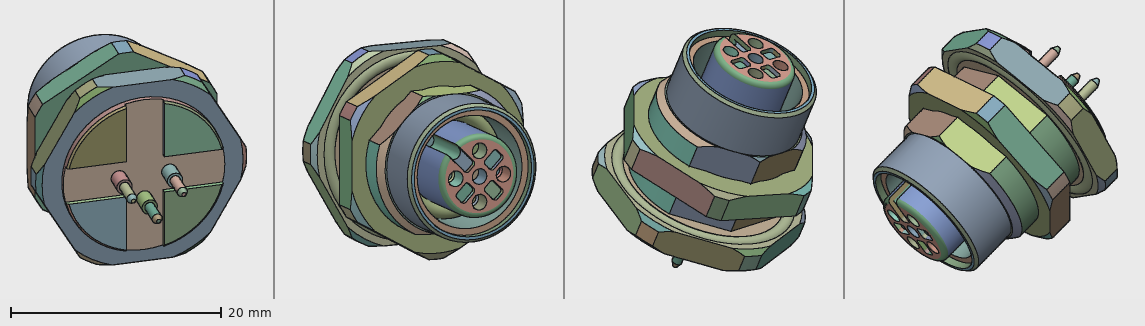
import cadquery as cq
import math

SHELL_FRONT = 1.5
SHELL_END = 6.47
NUT_FRONT = 9.46
NUT_BACK = 12.32
FLANGE_FRONT = 15.3
FLANGE_BACK = 18.0
NOTCH_FLOOR = 18.5
BOSS_BACK = 19.0
PIN_SHOULDER = 20.48
PIN_TIP_START = 23.03
PIN_END = 23.6

SHELL_DIA = 13.5
SHELL_CHAMFER = 0.3
MOUTH_DIA = 12.3
MOUTH_DEPTH = 0.75
BORE_DIA = 11.0

INSERT_DIA = 8.15
INSERT_FILLET = 0.5
HOLE_DIA = 1.5
HOLE_DEPTH = 1.89
SOCKET_DIA = 1.15
SOCKET_CONE = 0.2
SOCKET_DEPTH = 2.83
CONTACT_PITCH_RADIUS = 2.5
POCKET_INNER = 1.2
POCKET_OUTER = 3.0
POCKET_WIDTH = 1.32
POCKET_CORNER = 0.3
POCKET_ANGLES = (45.0, 135.0, 225.0, 315.0)
POCKET_DEPTH = 0.5
KEYWAY_INNER = 2.8
KEYWAY_ANGLE = 45.0

BARREL_DIA = 15.1
BARREL_CHAMFER = 0.64
BARREL_FLATS = 13.45
BARREL_FLAT_ANGLES = (0.0, -45.0)

FLANGE_TURN = 0.0
NUT_TURN = 90.0
FLANGE_ACROSS_FLATS = 19.0
FLANGE_CORNER_DIA = 20.89
FLANGE_CHAMFER = 0.5
NUT_ACROSS_FLATS = 18.0
NUT_CORNER_DIA = 20.0
NUT_FACE_DIA = 18.65
NUT_CHAMFER_LENGTH = 0.38
NUT_BORE_DIA = 13.88

BOSS_DIA = 16.0
BOSS_FACE_DIA = 15.6
BOSS_CHAMFER = (BOSS_DIA - BOSS_FACE_DIA) / 2
NOTCH_WIDTH = 3.75

PIN_DIA = 1.5
PIN_TAIL_DIA = 1.0
PIN_TIP_DIA = 0.42

SEAL_RING_RADIUS = 8.65
SEAL_SECTION_RADIUS = 0.7
SEAL_PROTRUSION = 0.28

BEAD_SECTION_RADIUS = (BORE_DIA - INSERT_DIA) / 4
BEAD_RING_RADIUS = (BORE_DIA + INSERT_DIA) / 4
BORE_FLOOR = SHELL_END + BEAD_SECTION_RADIUS

CONTACTS = [
    (CONTACT_PITCH_RADIUS, 0.0),
    (-CONTACT_PITCH_RADIUS, 0.0),
    (0.0, -CONTACT_PITCH_RADIUS),
]
EMPTY_HOLES = [(0.0, CONTACT_PITCH_RADIUS), (0.0, 0.0)]


def across(x):
    """Workplane square to the connector axis at x, with local axes Y and Z."""
    return cq.Workplane("YZ", origin=(x, 0, 0))


def cylinder(x_start, x_end, diameter):
    return across(x_start).circle(diameter / 2).extrude(x_end - x_start)


def turned(points):
    """Solid of revolution about the connector axis from (x, radius) points."""
    return cq.Workplane("XY").polyline(points).close().revolve(360, (0, 0, 0), (1, 0, 0))


def ring(x, ring_radius, section_radius):
    return cq.Workplane("XY").center(x, ring_radius).circle(section_radius).revolve(
        360, (0, -ring_radius, 0), (1, -ring_radius, 0)
    )


def hexagon(x_start, x_end, across_flats, turn):
    corner_dia = across_flats / math.cos(math.pi / 6)
    prism = across(x_start).polygon(6, corner_dia).extrude(x_end - x_start)
    return prism.rotate((0, 0, 0), (1, 0, 0), turn)


def make_shell():
    shell = cylinder(SHELL_FRONT, SHELL_END, SHELL_DIA).faces("<X").edges().chamfer(SHELL_CHAMFER)
    return shell.cut(cylinder(SHELL_FRONT, SHELL_FRONT + MOUTH_DEPTH, MOUTH_DIA))


def make_barrel():
    barrel = cylinder(SHELL_END, FLANGE_FRONT, BARREL_DIA).faces("<X").edges().chamfer(BARREL_CHAMFER)
    length = FLANGE_FRONT - SHELL_END
    for angle in BARREL_FLAT_ANGLES:
        slab = across(SHELL_END).rect(BARREL_DIA, BARREL_FLATS).extrude(length)
        barrel = barrel.intersect(slab.rotate((0, 0, 0), (1, 0, 0), angle))
    return barrel


def make_flange():
    blank = cylinder(FLANGE_FRONT, FLANGE_BACK, FLANGE_CORNER_DIA).edges().chamfer(FLANGE_CHAMFER)
    return blank.intersect(hexagon(FLANGE_FRONT, FLANGE_BACK, FLANGE_ACROSS_FLATS, FLANGE_TURN))


def make_boss():
    """Chamfered rear boss whose end face carries a cross-shaped notch."""
    boss = cylinder(FLANGE_BACK, BOSS_BACK, BOSS_DIA).faces(">X").edges().chamfer(BOSS_CHAMFER)
    for width, height in ((BOSS_DIA, NOTCH_WIDTH), (NOTCH_WIDTH, BOSS_DIA)):
        boss = boss.cut(across(NOTCH_FLOOR).rect(width, height).extrude(BOSS_BACK - NOTCH_FLOOR))
    return boss


def make_insert():
    insert = cylinder(0, BORE_FLOOR, INSERT_DIA).faces("<X").edges().fillet(INSERT_FILLET)
    holes = across(0).pushPoints(CONTACTS + EMPTY_HOLES).circle(HOLE_DIA / 2).extrude(HOLE_DEPTH)
    insert = insert.cut(holes)
    socket = turned([
        (HOLE_DEPTH, 0),
        (HOLE_DEPTH, HOLE_DIA / 2),
        (HOLE_DEPTH + SOCKET_CONE, SOCKET_DIA / 2),
        (HOLE_DEPTH + SOCKET_DEPTH, SOCKET_DIA / 2),
        (HOLE_DEPTH + SOCKET_DEPTH, 0),
    ])
    for y, z in CONTACTS:
        insert = insert.cut(socket.translate((0, y, z)))
    return insert.cut(make_marking_pockets()).cut(make_keyway())


def make_marking_pockets():
    """Four shallow pockets on the diagonals of the insert face."""
    pocket = (
        across(0)
        .center((POCKET_INNER + POCKET_OUTER) / 2, 0)
        .rect(POCKET_OUTER - POCKET_INNER, POCKET_WIDTH)
        .extrude(POCKET_DEPTH)
        .edges("|X")
        .fillet(POCKET_CORNER)
    )
    pockets = cq.Workplane()
    for angle in POCKET_ANGLES:
        pockets = pockets.add(pocket.rotate((0, 0, 0), (1, 0, 0), angle))
    return pockets.combine()


def make_keyway():
    """Round-ended slot that opens through the side of the insert and runs into a marking pocket."""
    half_width = POCKET_WIDTH / 2
    round_center = KEYWAY_INNER + half_width
    slot = across(0).center(round_center, 0).circle(half_width).extrude(SHELL_END)
    opening = across(0).center(round_center + half_width, 0).rect(POCKET_WIDTH, POCKET_WIDTH)
    slot = slot.union(opening.extrude(SHELL_END))
    pocket_middle = (POCKET_INNER + POCKET_OUTER) / 2
    link = across(0).center((pocket_middle + round_center) / 2, 0)
    slot = slot.union(link.rect(round_center - pocket_middle, POCKET_WIDTH).extrude(POCKET_DEPTH))
    return slot.rotate((0, 0, 0), (1, 0, 0), KEYWAY_ANGLE)


def make_pin():
    return turned([
        (NOTCH_FLOOR, 0),
        (NOTCH_FLOOR, PIN_DIA / 2),
        (PIN_SHOULDER, PIN_DIA / 2),
        (PIN_SHOULDER, PIN_TAIL_DIA / 2),
        (PIN_TIP_START, PIN_TAIL_DIA / 2),
        (PIN_END, PIN_TIP_DIA / 2),
        (PIN_END, 0),
    ])


def make_housing(seal):
    housing = make_shell().union(make_barrel()).cut(cylinder(SHELL_FRONT, BORE_FLOOR, BORE_DIA))
    housing = housing.union(make_flange()).union(make_boss()).union(make_insert())
    housing = housing.union(ring(BORE_FLOOR, BEAD_RING_RADIUS, BEAD_SECTION_RADIUS))
    for y, z in CONTACTS:
        housing = housing.union(make_pin().translate((0, y, z)))
    return housing.cut(seal)


def make_seal():
    center_x = FLANGE_FRONT - SEAL_PROTRUSION + SEAL_SECTION_RADIUS
    return ring(center_x, SEAL_RING_RADIUS, SEAL_SECTION_RADIUS)


def make_nut():
    """Hexagonal nut: a round bore, cut deeper where the barrel stands out between its flats."""
    corner_radius = NUT_CORNER_DIA / 2
    blank = turned([
        (NUT_FRONT, 0),
        (NUT_FRONT, NUT_FACE_DIA / 2),
        (NUT_FRONT + NUT_CHAMFER_LENGTH, corner_radius),
        (NUT_BACK, corner_radius),
        (NUT_BACK, 0),
    ])
    nut = blank.intersect(hexagon(NUT_FRONT, NUT_BACK, NUT_ACROSS_FLATS, NUT_TURN))
    return nut.cut(cylinder(NUT_FRONT, NUT_BACK, NUT_BORE_DIA)).cut(make_barrel())


seal = make_seal()
housing = make_housing(seal)
nut = make_nut()

result = cq.Compound.makeCompound([housing.val(), nut.val(), seal.val()])